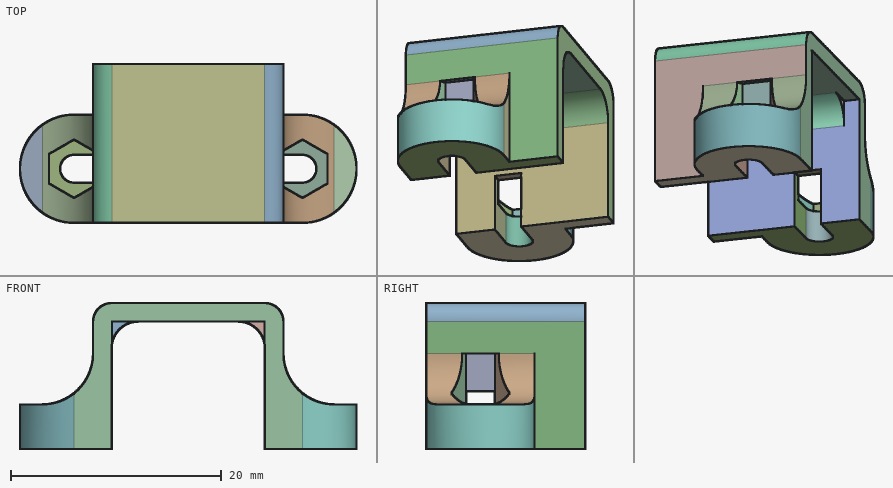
import cadquery as cq
import math

length_x = 32.0
saddle_width_y = 15.1
height = 13.88
wall = 1.8
inner_half_width = 7.25
outer_half_width = inner_half_width + wall
top_corner_radius = wall

ear_radius = 5.15
ear_height = 4.25
ear_center_x = length_x / 2 - ear_radius
ear_center_y = ear_radius - saddle_width_y / 2
blend_radius = 4.8
blend_top = ear_height + blend_radius

slot_radius = 1.3
slot_top = 5.47
nut_sides = 6
nut_flats = 4.8
nut_corners = nut_flats / math.cos(math.pi / nut_sides)
nut_floor = 3.05

gusset_radius = 2.5
gusset_front_gap = 1.5


def block(x_min, x_max, y_min, y_max, z_min, z_max):
    return cq.Workplane("XY").box(
        x_max - x_min, y_max - y_min, z_max - z_min, centered=False
    ).translate((x_min, y_min, z_min))


def make_saddle():
    half_y = saddle_width_y / 2
    outer = block(-outer_half_width, outer_half_width, -half_y, half_y, 0, height)
    outer = outer.edges("|Y and >Z").fillet(top_corner_radius)
    return outer.cut(
        block(-inner_half_width, inner_half_width, -half_y, half_y, 0, height - wall)
    )


def make_ear():
    """The +X ear, with a concave blend up to the side wall."""
    wall_middle = inner_half_width + wall / 2
    outline = (
        cq.Workplane("XY")
        .center(ear_center_x, ear_center_y)
        .circle(ear_radius)
        .extrude(blend_top)
        .union(block(wall_middle, ear_center_x, ear_center_y - ear_radius,
                     ear_center_y + ear_radius, 0, blend_top))
    )
    blend_center_x = outer_half_width + blend_radius
    diagonal = blend_radius * math.sqrt(0.5)
    profile = (
        cq.Workplane("XZ")
        .moveTo(wall_middle, 0)
        .lineTo(length_x / 2, 0)
        .lineTo(length_x / 2, ear_height)
        .lineTo(blend_center_x, ear_height)
        .threePointArc(
            (blend_center_x - diagonal, blend_top - diagonal),
            (outer_half_width, blend_top),
        )
        .lineTo(wall_middle, blend_top)
        .close()
        .extrude(saddle_width_y / 2, both=True)
    )
    return outline.intersect(profile)


def make_ear_cut():
    """Slot open to the inside of the channel, plus the hexagonal nut pocket."""
    slot_end = cq.Workplane("XY").center(ear_center_x, ear_center_y).circle(slot_radius)
    slot = slot_end.extrude(slot_top).union(
        block(0, ear_center_x, ear_center_y - slot_radius, ear_center_y + slot_radius, 0, slot_top)
    )
    nut = (
        cq.Workplane("XY")
        .polygon(nut_sides, nut_corners)
        .extrude(blend_top - nut_floor)
        .rotate((0, 0, 0), (0, 0, 1), 180 / nut_sides)
        .translate((ear_center_x, ear_center_y, nut_floor))
    )
    return slot.union(nut)


def make_gusset():
    """The +X gusset, rounded on its free side."""
    ceiling = height - wall
    arc_center_x = inner_half_width - gusset_radius
    arc_center_z = ceiling - gusset_radius
    diagonal = gusset_radius * math.sqrt(0.5)
    return (
        cq.Workplane("XZ", origin=(0, saddle_width_y / 2, 0))
        .moveTo(arc_center_x, ceiling)
        .threePointArc(
            (arc_center_x + diagonal, arc_center_z + diagonal),
            (inner_half_width, arc_center_z),
        )
        .lineTo(inner_half_width, ceiling)
        .close()
        .extrude(saddle_width_y - gusset_front_gap)
    )


def both_sides(solid):
    return solid.union(solid.mirror("YZ"))


result = (
    make_saddle()
    .union(both_sides(make_ear()))
    .cut(both_sides(make_ear_cut()))
    .union(both_sides(make_gusset()))
)